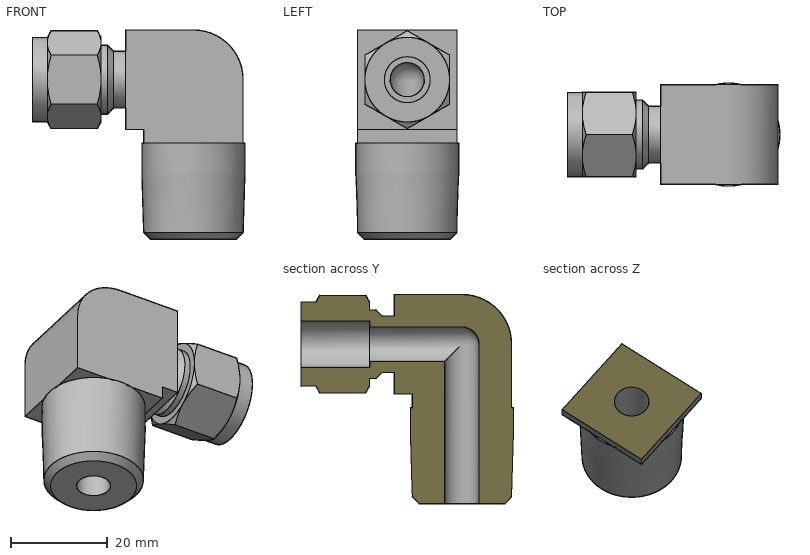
import cadquery as cq
import math


body_width = 20.6
body_half = body_width / 2
body_left = -14.0
shank_bottom = -13.15
corner_radius = body_half

thread_radius = 10.68
taper_start = -19.35
taper_end = -31.6
taper_end_radius = body_half
end_chamfer = 1.4
thread_bottom = taper_end - end_chamfer

tube_face = thread_radius - 43.95
nut_collar_length = 3.08
nut_collar_radius = 8.75
nut_across_flats = 17.55
nut_length = 11.1
nut_chamfer_angle = 30
nut_front = tube_face + nut_collar_length
nut_back = nut_front + nut_length
shoulder_radius = 7.15
shoulder_length = 1.3
neck_radius = 5.9
neck_chamfer = shoulder_radius - neck_radius

bore_radius = 3.5
tube_socket_radius = 4.75


def x_cylinder(radius, start, end):
    return cq.Workplane("YZ").workplane(offset=start).circle(radius).extrude(end - start)


def make_body():
    """Square elbow block with a stepped foot and a rounded outer corner."""
    arc_offset = corner_radius * math.sqrt(0.5)
    arc_center = body_half - corner_radius
    arc_middle = (arc_center + arc_offset, arc_center + arc_offset)
    return (
        cq.Workplane("XZ")
        .moveTo(body_left, body_half)
        .lineTo(arc_center, body_half)
        .threePointArc(arc_middle, (body_half, arc_center))
        .lineTo(body_half, shank_bottom)
        .lineTo(-body_half, shank_bottom)
        .lineTo(-body_half, -body_half)
        .lineTo(body_left, -body_half)
        .close()
        .extrude(body_half, both=True)
    )


def make_threaded_end():
    """Plain collar, slow taper and end chamfer turned about Z."""
    return (
        cq.Workplane("XZ")
        .moveTo(0, shank_bottom)
        .lineTo(thread_radius, shank_bottom)
        .lineTo(thread_radius, taper_start)
        .lineTo(taper_end_radius, taper_end)
        .lineTo(taper_end_radius - end_chamfer, thread_bottom)
        .lineTo(0, thread_bottom)
        .close()
        .revolve(360, (0, 0, 0), (0, 1, 0))
    )


def make_nut():
    """Hexagon with corners up and down, its corners turned off at both ends."""
    flat_radius = nut_across_flats / 2
    corner_reach = flat_radius / math.cos(math.radians(30))
    chamfer_length = (corner_reach - flat_radius) * math.tan(math.radians(nut_chamfer_angle))
    hexagon = (
        cq.Workplane("YZ")
        .workplane(offset=nut_front)
        .transformed(rotate=(0, 0, 90))
        .polygon(6, 2 * corner_reach)
        .extrude(nut_length)
    )
    turned_blank = (
        cq.Workplane("XZ")
        .moveTo(nut_front, 0)
        .lineTo(nut_front, flat_radius)
        .lineTo(nut_front + chamfer_length, corner_reach)
        .lineTo(nut_back - chamfer_length, corner_reach)
        .lineTo(nut_back, flat_radius)
        .lineTo(nut_back, 0)
        .close()
        .revolve(360, (0, 0, 0), (1, 0, 0))
    )
    collar = x_cylinder(nut_collar_radius, tube_face, nut_front)
    return hexagon.intersect(turned_blank).union(collar)


def make_neck():
    """Shoulder behind the nut, chamfered down to the neck."""
    shoulder_end = nut_back + shoulder_length
    return (
        cq.Workplane("XZ")
        .moveTo(nut_back, 0)
        .lineTo(nut_back, shoulder_radius)
        .lineTo(shoulder_end, shoulder_radius)
        .lineTo(shoulder_end + neck_chamfer, neck_radius)
        .lineTo(body_left, neck_radius)
        .lineTo(body_left, 0)
        .close()
        .revolve(360, (0, 0, 0), (1, 0, 0))
    )


def make_passages():
    """Two equal bores meeting in a ball, with a wider tube socket at the nut."""
    tube_bore = x_cylinder(bore_radius, tube_face, 0)
    tube_socket = x_cylinder(tube_socket_radius, tube_face, nut_back)
    thread_bore = cq.Workplane("XY").circle(bore_radius).extrude(thread_bottom)
    ball = cq.Workplane("XY").sphere(bore_radius)
    return tube_bore.union(thread_bore).union(ball).union(tube_socket)


outside = make_body().union(make_threaded_end()).union(make_neck()).union(make_nut())
result = outside.cut(make_passages())